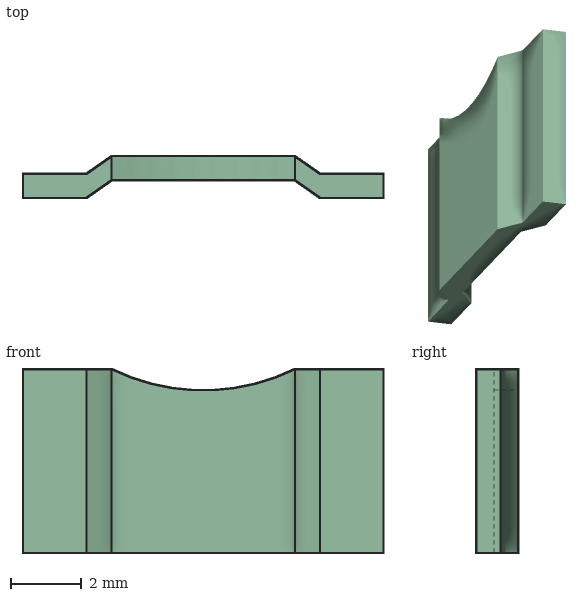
import cadquery as cq
import math

overall_length = 10.2
height = 5.2
thickness = 0.69
pad_length = 1.8
lift = 0.5
ramp_angle = 35.0
notch_depth = 0.6

half_length = overall_length / 2
pad_inner_x = half_length - pad_length
half_element = pad_inner_x - lift / math.tan(math.radians(ramp_angle))


def make_element():
    """Flat middle plate, set back from the pads, with a shallow arc cut into its top edge."""
    return (
        cq.Workplane("XZ", origin=(0, lift, 0))
        .moveTo(-half_element, 0)
        .lineTo(half_element, 0)
        .lineTo(half_element, height)
        .threePointArc((0, height - notch_depth), (-half_element, height))
        .close()
        .extrude(-thickness)
    )


def make_terminal(side):
    """Flat pad with a sloping ramp up to the element; side is -1 for left, +1 for right."""
    front_edge = [(half_length, 0), (pad_inner_x, 0), (half_element, lift)]
    back_edge = [(x, y + thickness) for x, y in reversed(front_edge)]
    outline = [(side * x, y) for x, y in front_edge + back_edge]
    return cq.Workplane("XY").polyline(outline).close().extrude(height)


element = make_element()
terminals = [make_terminal(side) for side in (-1, 1)]

result = cq.Compound.makeCompound([element.val(), *[terminal.val() for terminal in terminals]])